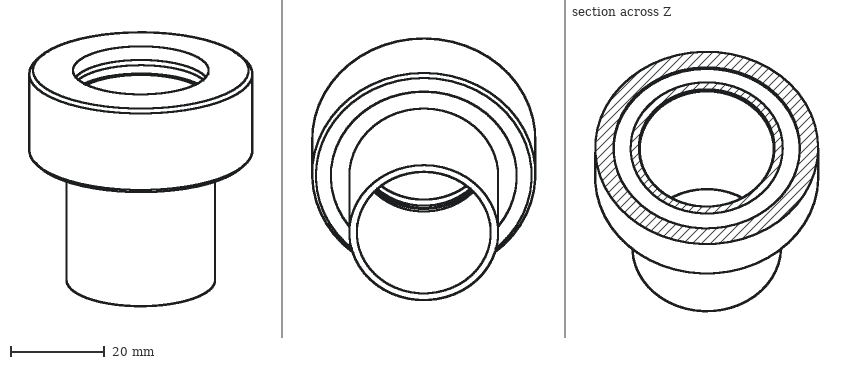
import cadquery as cq
import math

total_height = 47.75
collar_diameter = 47.6
collar_height = 19.05
collar_chamfer = 0.8
collar_base = total_height - collar_height

upper_bore = 28.95
sleeve_bore = 28.55
sleeve_diameter = 31.75
flange_diameter = 39.65
flange_projection = 0.15

lip_depth = 3.1
washer_thickness = 1.2
seal_section = 2.15
seal_flat = 0.3
washer_top = total_height - lip_depth
washer_bottom = washer_top - washer_thickness
flange_top = washer_bottom - seal_section


def disc(diameter, bottom, top):
    """Solid cylinder on the Z axis between two levels."""
    return cq.Workplane("XY").workplane(offset=bottom).circle(diameter / 2).extrude(top - bottom)


def make_collar():
    """Chamfered collar with a recess, open below, for the washer, seal and flange."""
    body = disc(collar_diameter, collar_base, total_height).faces("<Z or >Z").edges().chamfer(collar_chamfer)
    body = body.cut(disc(upper_bore, collar_base, total_height))
    return body.cut(disc(flange_diameter, collar_base, washer_top))


def make_washer():
    """Flat ring between the collar lip and the seal."""
    return disc(flange_diameter, washer_bottom, washer_top).cut(disc(upper_bore, washer_bottom, washer_top))


def make_seal():
    """Round-section ring whose inside is cut flat, flush with the sleeve bore."""
    section_radius = seal_section / 2
    center_radius = sleeve_bore / 2 + math.sqrt(section_radius**2 - (seal_flat / 2) ** 2)
    center_height = flange_top + section_radius
    section = cq.Workplane("XZ").center(center_radius, center_height).circle(section_radius)
    ring = section.revolve(360, (-center_radius, 0, 0), (-center_radius, 1, 0))
    return ring.cut(disc(sleeve_bore, flange_top, washer_bottom))


def make_sleeve():
    """Long tube whose thick flange fills the lower part of the collar recess."""
    tube = disc(sleeve_diameter, 0, flange_top)
    flange = disc(flange_diameter, collar_base - flange_projection, flange_top)
    return tube.union(flange).cut(disc(sleeve_bore, 0, flange_top))


collar = make_collar()
washer = make_washer()
seal = make_seal()
sleeve = make_sleeve()

result = cq.Compound.makeCompound([collar.val(), washer.val(), seal.val(), sleeve.val()])